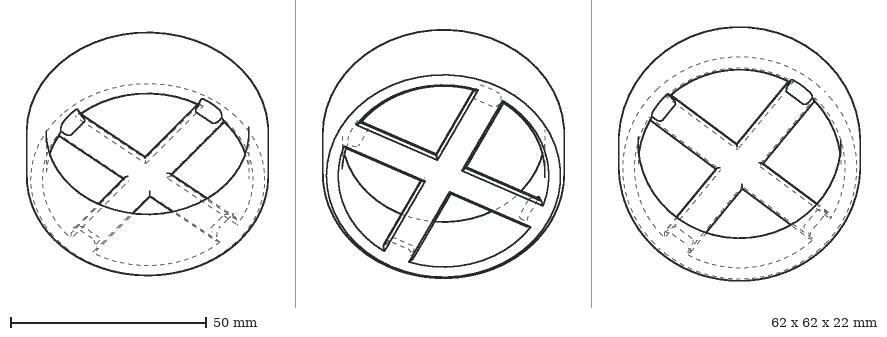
import cadquery as cq

outer_diameter = 62
bore_diameter = 52.0
height = 22.0
edge_round = 1.0
bottom_chamfer = 1.0

bar_width = 8.5
bar_thickness = 2.0
bar_round = 0.75
bar_chamfer = 0.75

gusset_run = 3.0
gusset_width = bar_width - 2 * bar_round

outer_radius = outer_diameter / 2
bore_radius = bore_diameter / 2
embed_radius = (outer_radius + bore_radius) / 2


def make_ring():
    """Ring with rounded top edges and softened chamfers at the bottom edges."""
    ring = cq.Workplane("XY").circle(outer_radius).circle(bore_radius).extrude(height)
    ring = ring.faces(">Z").edges().fillet(edge_round)
    ring = ring.faces("<Z").edges().chamfer(bottom_chamfer)
    chamfer_rim = cq.selectors.BoxSelector(
        (-outer_diameter, -outer_diameter, bottom_chamfer / 2),
        (outer_diameter, outer_diameter, bottom_chamfer * 2),
        boundingbox=True,
    )
    return ring.edges("%CIRCLE").edges(chamfer_rim).fillet(edge_round)


def make_cross():
    """Two crossing bars with rounded upper and chamfered lower long edges."""
    length = 2 * embed_radius
    centered = (True, True, False)
    cross = cq.Workplane("XY").box(length, bar_width, bar_thickness, centered=centered)
    cross = cross.union(cq.Workplane("XY").box(bar_width, length, bar_thickness, centered=centered))
    long_edges = "not(>X or <X or >Y or <Y)"
    cross = cross.faces(">Z").edges(long_edges).fillet(bar_round)
    return cross.faces("<Z").edges(long_edges).chamfer(bar_chamfer)


def make_gusset():
    """45 degree gusset on the +X bar, with rounded slope edges."""
    start = bore_radius - gusset_run
    reach = embed_radius - start
    gusset = (
        cq.Workplane("XZ", origin=(start, 0, bar_thickness))
        .polyline([(0, 0), (reach, reach), (reach, -bar_thickness / 2), (0, -bar_thickness / 2)])
        .close()
        .extrude(gusset_width / 2, both=True)
    )
    slope = gusset.faces(cq.selectors.DirectionMinMaxSelector(cq.Vector(-1, 0, 1)))
    return slope.edges("|(1,0,1)").fillet(edge_round)


result = make_ring().union(make_cross())
gusset = make_gusset()
for angle in (0, 90, 180, 270):
    result = result.union(gusset.rotate((0, 0, 0), (0, 0, 1), angle))